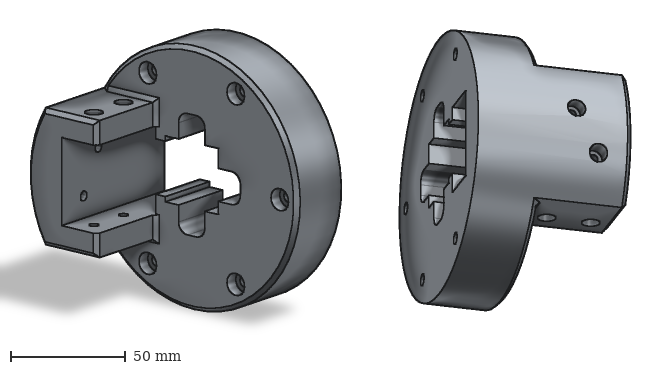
import cadquery as cq
import math

disc_diameter = 120.0
disc_thickness = 30.0
edge_chamfer = 2.0

total_depth = 70.0
arm_inner_x = -20.5
arm_height = 62.4
channel_left_x = -40.5
channel_height = 40.1

core_width = 30.0
core_offset_z = 1.5
neck_height = 25.2
lobe_width = 15.0
lobe_reach = 27.6
lobe_corner_radius = 5.0

bolt_circle_radius = 50.0
bolt_angles = (-120, -60, 0, 60, 120)
bolt_diameter = 5.3
bolt_head_diameter = 10.0
bolt_head_depth = 6.0

screw_diameter = 4.3
screw_head_diameter = 8.0
wall_screw_head_depth = 4.0
side_screw_head_depth = 9.0
wall_screw_x = -30.5
wall_screw_depths = (40.0, 60.0)
side_screws = ((45.0, 10.0), (55.0, -10.0))

disc_radius = disc_diameter / 2
overshoot = 1.2


def box(x_min, x_max, y_min, y_max, z_min, z_max):
    size = (x_max - x_min, y_max - y_min, z_max - z_min)
    return cq.Workplane("XY").box(*size, centered=False).translate((x_min, y_min, z_min))


def cylinder(diameter, length, start, direction):
    return cq.Workplane(
        cq.Solid.makeCylinder(diameter / 2, length, cq.Vector(*start), cq.Vector(*direction))
    )


def counterbore_cutter(start, direction, hole, head, head_depth, length):
    """Through hole with a wider head recess, entering at start."""
    bore = cylinder(hole, length, start, direction)
    return bore.union(cylinder(head, head_depth, start, direction))


def round_bar(length, chamfer=edge_chamfer):
    """Full-diameter bar from the back face, chamfered at its front rim."""
    bar = cylinder(disc_diameter, length, (0, 0, 0), (0, -1, 0))
    return bar.faces("<Y").chamfer(chamfer)


def make_arm():
    """Segment of the bar, with chamfered end and a sloped skirt at its root."""
    half = arm_height / 2
    block = box(-disc_diameter, arm_inner_x, -total_depth, 0, -half, half)
    block = block.faces("<Y").edges(">X or >Z or <Z").chamfer(edge_chamfer)
    arm = round_bar(total_depth).intersect(block)

    skirt = (
        cq.Workplane("XZ", origin=(0, -disc_thickness, 0))
        .center(arm_inner_x - disc_radius, 0)
        .rect(disc_diameter + 2 * edge_chamfer, arm_height + 2 * edge_chamfer)
        .extrude(edge_chamfer, taper=45)
    )
    rim_cone = round_bar(disc_thickness + edge_chamfer, 2 * edge_chamfer)
    return arm.union(skirt.intersect(rim_cone))


def make_opening():
    half = core_width / 2
    lobe_half = lobe_width / 2
    depth = disc_thickness + edge_chamfer + overshoot

    def offset_box(x_min, x_max, half_height):
        centred = box(x_min, x_max, -depth, overshoot, -half_height, half_height)
        return centred.translate((0, 0, core_offset_z))

    opening = offset_box(-half, half, half)
    opening = opening.union(offset_box(arm_inner_x, -half, neck_height / 2))
    upright = offset_box(-lobe_half, lobe_half, lobe_reach).edges("|Y").fillet(lobe_corner_radius)
    side = box(0, lobe_reach, -depth, overshoot, -lobe_half, lobe_half)
    side = side.edges("|Y and >X").fillet(lobe_corner_radius)
    return opening.union(upright).union(side)


def make_channel():
    half = channel_height / 2
    through = box(channel_left_x, arm_inner_x, -total_depth - overshoot, overshoot, -half, half)
    mouth = box(
        arm_inner_x, arm_inner_x + 2 * edge_chamfer, -total_depth, -disc_thickness, -half, half
    )
    return through.union(mouth)


def cut_bolt_holes(body):
    for angle in bolt_angles:
        x = bolt_circle_radius * math.cos(math.radians(angle))
        z = bolt_circle_radius * math.sin(math.radians(angle))
        body = body.cut(
            counterbore_cutter(
                (x, -disc_thickness, z), (0, 1, 0),
                bolt_diameter, bolt_head_diameter, bolt_head_depth, disc_thickness,
            )
        )
    return body


def cut_arm_screws(body):
    wall = (arm_height - channel_height) / 2
    for depth in wall_screw_depths:
        for side in (1, -1):
            start = (wall_screw_x, -depth, side * arm_height / 2)
            body = body.cut(
                counterbore_cutter(
                    start, (0, 0, -side),
                    screw_diameter, screw_head_diameter, wall_screw_head_depth, wall + overshoot,
                )
            )
    side_length = disc_radius + channel_left_x + overshoot
    for depth, z in side_screws:
        body = body.cut(
            counterbore_cutter(
                (-disc_radius, -depth, z), (1, 0, 0),
                screw_diameter, screw_head_diameter, side_screw_head_depth, side_length,
            )
        )
    return body


body = round_bar(disc_thickness).union(make_arm())
body = body.cut(make_channel()).cut(make_opening())
body = cut_bolt_holes(body)
result = cut_arm_screws(body)